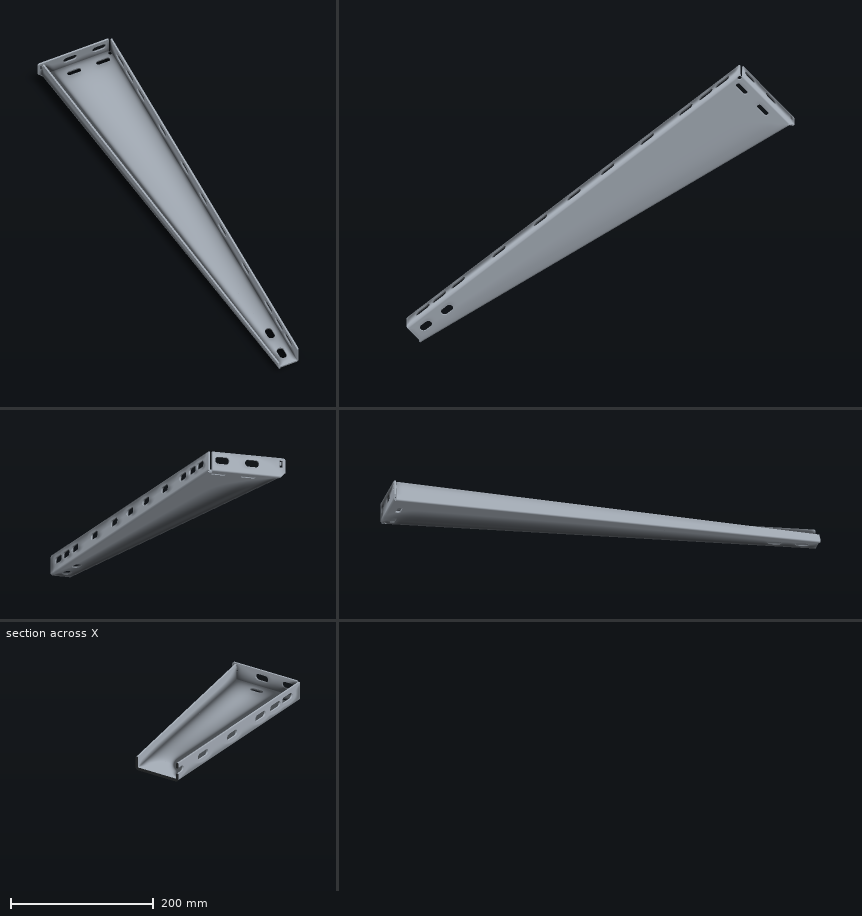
import cadquery as cq
import math

length = 623.0
depth = 114.5
height = 28.0

sheet = 2.5
bend_radius = 3.0
inner_radius = bend_radius - sheet

tip_offset = 2.0
square_end = length - tip_offset
back_start = sheet
plate_gap = 5.0
end_plate_back = depth - plate_gap
front_start = 4.5
back_corner_radius = 2.5
plate_top_radius = 3.0
plate_bottom_chamfer = 7.0

front_y_at_end = 5.5
front_y_at_tip = 83.0
front_height_at_end = 27.5
front_height_at_tip = 11.0
front_tip_lean = 2.0
slope = math.atan2(front_y_at_tip - front_y_at_end, length)
front_length = (length - front_start) / math.cos(slope)

slot_z = 16.0
back_slot_centres = [35.0, 65.5, 103.0, 174.5, 248.0, 310.0, 372.5, 450.0, 526.0, 561.0, 591.0]
back_slot_length = 25.5
back_slot_width = 9.5
plate_slot_centres = [95.0, 50.0]
plate_slot_length = 21.0
plate_slot_width = 10.0
base_end_slot_x = 15.5
base_end_slot_width = 7.0
base_tip_slot_centres = [560.0, 599.5]
base_tip_slot_y = 98.5
base_tip_slot_length = 19.5
base_tip_slot_width = 10.5

relief_x = 6.0
relief_y = 110.0
relief_diameter = 6.0

tab_low = 17.5
tab_high = 22.5
tab_length = 4.0
window_low = 14.5
window_high = 24.0
window_start_y = 4.0
window_end_y = 9.0


def front_y(x):
    """Y of the outer face of the sloping flange at a given X."""
    return front_y_at_end + x * math.tan(slope)


def bent_flange(run, rise):
    """Quarter bend and upright wall, extruded along +X; outer face on Y = 0, bend leaving towards +Y."""
    return (
        cq.Workplane("YZ")
        .moveTo(bend_radius, 0)
        .radiusArc((0, bend_radius), bend_radius)
        .lineTo(0, rise)
        .lineTo(sheet, rise)
        .lineTo(sheet, bend_radius)
        .radiusArc((bend_radius, sheet), -inner_radius)
        .close()
        .extrude(run)
    )


def make_base():
    shift = bend_radius / math.cos(slope)
    back = depth - bend_radius
    return (
        cq.Workplane("XY")
        .polyline(
            [
                (bend_radius, front_y(bend_radius) + shift),
                (square_end, front_y(square_end) + shift),
                (square_end, back),
                (bend_radius, back),
            ]
        )
        .close()
        .extrude(sheet)
    )


def make_back_flange():
    flange = bent_flange(square_end - back_start, height).edges("|Y and >X and >Z").fillet(back_corner_radius)
    return flange.mirror("XZ").translate((back_start, depth, 0))


def make_end_plate():
    plate = bent_flange(end_plate_back, height).rotate((0, 0, 0), (0, 0, 1), -90)
    plate = plate.translate((0, end_plate_back, 0))
    plate = plate.edges("|X and <Y and >Z").fillet(plate_top_radius)
    corner = (
        cq.Workplane("YZ")
        .polyline([(0, 0), (plate_bottom_chamfer, 0), (0, plate_bottom_chamfer)])
        .close()
        .extrude(bend_radius)
    )
    return plate.cut(corner)


def make_front_flange():
    flange = bent_flange(front_length, front_height_at_end)
    taper = (
        cq.Workplane("XZ")
        .polyline(
            [
                (0, front_height_at_end),
                (front_length - front_tip_lean, front_height_at_tip),
                (front_length, bend_radius),
                (front_length, height),
                (0, height),
            ]
        )
        .close()
        .extrude(-bend_radius)
    )
    tab = cq.Workplane("XY").box(tab_length, sheet, tab_high - tab_low, centered=False)
    tab = tab.translate((-tab_length, 0, tab_low))
    return (
        flange.cut(taper)
        .union(tab)
        .rotate((0, 0, 0), (0, 0, 1), math.degrees(slope))
        .translate((front_start, front_y(front_start), 0))
    )


def slots(plane, centres, slot_length, slot_width, angle=0):
    """Slot-shaped cutters, one sheet deep, at each centre on the given plane."""
    return cq.Workplane(plane).pushPoints(centres).slot2D(slot_length, slot_width, angle).extrude(sheet)


def back_slots():
    centres = [(x, slot_z) for x in back_slot_centres]
    return slots("XZ", centres, back_slot_length, back_slot_width).translate((0, depth, 0))


def plate_slots():
    centres = [(y, slot_z) for y in plate_slot_centres]
    return slots("YZ", centres, plate_slot_length, plate_slot_width)


def base_slots():
    end_centres = [(base_end_slot_x, y) for y in plate_slot_centres]
    tip_centres = [(x, base_tip_slot_y) for x in base_tip_slot_centres]
    end_slots = slots("XY", end_centres, plate_slot_length, base_end_slot_width, angle=90)
    tip_slots = slots("XY", tip_centres, base_tip_slot_length, base_tip_slot_width)
    return end_slots.union(tip_slots)


def relief_hole():
    return cq.Workplane("XY").center(relief_x, relief_y).circle(relief_diameter / 2).extrude(sheet)


def tab_window():
    window = cq.Workplane("XY").box(
        sheet, window_end_y - window_start_y, window_high - window_low, centered=False
    )
    return window.translate((0, window_start_y, window_low))


end_plate = make_end_plate().cut(plate_slots()).cut(tab_window())
back_flange = make_back_flange().cut(back_slots())
base = make_base().cut(base_slots())
result = base.union(end_plate).union(back_flange).union(make_front_flange()).cut(relief_hole())